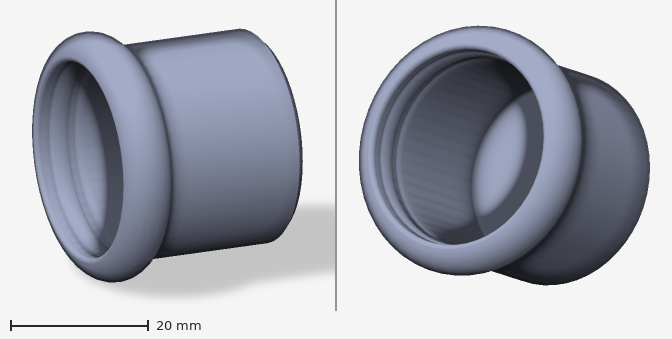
import cadquery as cq
import math


total_length = 29.0
body_radius = 31.4 / 2
bore_radius = 27.9 / 2
end_chamfer = 1.0
floor_fillet = 0.5
floor_depth = total_length - (body_radius - bore_radius)

bead_outer_radius = 36.68 / 2
bead_section_radius = 3.75
bead_centre_radius = bead_outer_radius - bead_section_radius

mouth_radius = 28.8 / 2
lip_fillet = 0.65

seal_crest_radius = 13.96
seal_start_depth = 2.15
seal_end_depth = 5.15

seat_radius = 28.4 / 2
shoulder_start_depth = 6.2
shoulder_end_depth = 7.4


def quarter_arc_middle(centre, arc_radius, radial_sign, depth_sign):
    """Point halfway along a quarter arc, in the quadrant given by the signs."""
    offset = arc_radius * math.sqrt(0.5)
    return (centre[0] + radial_sign * offset, centre[1] + depth_sign * offset)


def other_leg(hypotenuse, leg):
    """Second leg of a right triangle."""
    return math.sqrt(hypotenuse**2 - leg**2)


def add_outer_wall(profile):
    """Draw from the closed end to the bead, round the bead and over the lip."""
    lip_centre = (mouth_radius + lip_fillet, lip_fillet)
    centre_gap = bead_section_radius - lip_fillet
    centre_shift = lip_centre[0] - bead_centre_radius
    centre_rise = other_leg(centre_gap, centre_shift)
    bead_centre_depth = lip_fillet + centre_rise
    reach = bead_section_radius / centre_gap
    lip_tangent = (
        bead_centre_radius + centre_shift * reach,
        bead_centre_depth - centre_rise * reach,
    )
    lip_middle = quarter_arc_middle(lip_centre, lip_fillet, -1, -1)

    body_offset = body_radius - bead_centre_radius
    bead_end_depth = bead_centre_depth + other_leg(bead_section_radius, body_offset)

    return (
        profile.lineTo(body_radius - end_chamfer, total_length)
        .lineTo(body_radius, total_length - end_chamfer)
        .lineTo(body_radius, bead_end_depth)
        .threePointArc((bead_outer_radius, bead_centre_depth), lip_tangent)
        .threePointArc(lip_middle, (mouth_radius, lip_fillet))
    )


def add_seal_and_shoulder(profile):
    """Draw the mouth wall, the seal bulge, the seat and the shoulder down to the bore."""
    seal_middle_depth = (seal_start_depth + seal_end_depth) / 2
    seal_crest = (seal_crest_radius, seal_middle_depth)

    shoulder_length = shoulder_end_depth - shoulder_start_depth
    shoulder_drop = seat_radius - bore_radius
    shoulder_arc_radius = (shoulder_length**2 + shoulder_drop**2) / (2 * shoulder_drop)
    half_angle = math.atan2(shoulder_drop, shoulder_length)
    shoulder_middle = (
        bore_radius + shoulder_arc_radius * (1 - math.cos(half_angle)),
        shoulder_end_depth - shoulder_arc_radius * math.sin(half_angle),
    )

    return (
        profile.lineTo(mouth_radius, seal_start_depth)
        .threePointArc(seal_crest, (seat_radius, seal_end_depth))
        .lineTo(seat_radius, shoulder_start_depth)
        .threePointArc(shoulder_middle, (bore_radius, shoulder_end_depth))
    )


def add_bore(profile):
    """Draw the bore and its rounded corner to the flat floor on the axis."""
    corner_centre = (bore_radius - floor_fillet, floor_depth - floor_fillet)
    corner_middle = quarter_arc_middle(corner_centre, floor_fillet, 1, 1)
    return (
        profile.lineTo(bore_radius, corner_centre[1])
        .threePointArc(corner_middle, (corner_centre[0], floor_depth))
        .lineTo(0, floor_depth)
    )


half_profile = cq.Workplane("XY").moveTo(0, total_length)
half_profile = add_outer_wall(half_profile)
half_profile = add_seal_and_shoulder(half_profile)
half_profile = add_bore(half_profile).close()

result = half_profile.revolve(360, (0, 0, 0), (0, 1, 0))